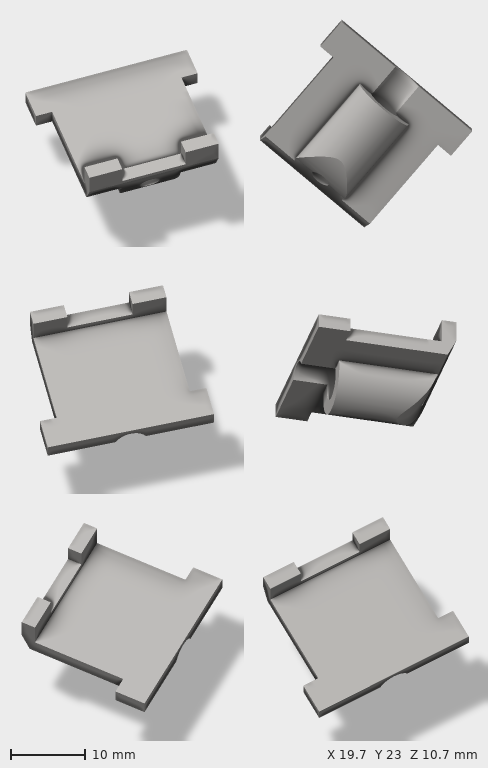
import cadquery as cq

plate_width = 18.4
plate_thickness = 2.0
overall_length = 19.7
overall_width = 23.0
overall_height = 10.7

ear_length = 4.4

lip_thickness = 2.0
post_height = 3.4
notch_width = 9.02
notch_floor = 0.92

barrel_start = 4.74
barrel_radius = 4.28
barrel_bottom = post_height - overall_height
axis_height = barrel_bottom + barrel_radius
hole_radius = 1.38
counterbore_radius = 2.3
counterbore_depth = 6.45

slope_top = 0.41
slope_run_per_drop = 0.5
nose_mid_x = 16.6
nose_mid_z = -5.4
nose_end_x = 13.82


def block(x_start, x_end, width, z_bottom, z_top):
    """Box centred on Y = 0."""
    size = (x_end - x_start, width, z_top - z_bottom)
    solid = cq.Workplane("XY").box(*size, centered=(False, True, False))
    return solid.translate((x_start, 0, z_bottom))


def rod(x_start, x_end, radius):
    """Cylinder along the barrel axis."""
    section = cq.Workplane("YZ", origin=(x_start, 0, axis_height)).circle(radius)
    return section.extrude(x_end - x_start)


def side_profile():
    """Slab as wide as the part, ending in the slope and rounded nose on the right."""
    slope_bottom_x = overall_length - slope_run_per_drop * (slope_top - axis_height)
    outline = (
        cq.Workplane("XZ")
        .moveTo(0, barrel_bottom)
        .lineTo(nose_end_x, barrel_bottom)
        .threePointArc((nose_mid_x, nose_mid_z), (slope_bottom_x, axis_height))
        .lineTo(overall_length, slope_top)
        .lineTo(overall_length, post_height)
        .lineTo(0, post_height)
        .close()
    )
    return outline.extrude(overall_width / 2, both=True)


plate = block(0, overall_length, plate_width, -plate_thickness, 0)
ears = block(0, ear_length, overall_width, -plate_thickness, 0)

lip_start = overall_length - lip_thickness
lip = block(lip_start, overall_length, plate_width, 0, post_height)
notch = block(lip_start, overall_length, notch_width, notch_floor, post_height)

below_plate = block(0, overall_length, overall_width, barrel_bottom, 0)
barrel = rod(barrel_start, overall_length, barrel_radius).intersect(below_plate)

body = plate.union(ears).union(lip.cut(notch)).union(barrel)
body = body.intersect(side_profile())

counterbore = rod(0, barrel_start + counterbore_depth, counterbore_radius)
hole = rod(0, overall_length, hole_radius)
result = body.cut(counterbore).cut(hole)